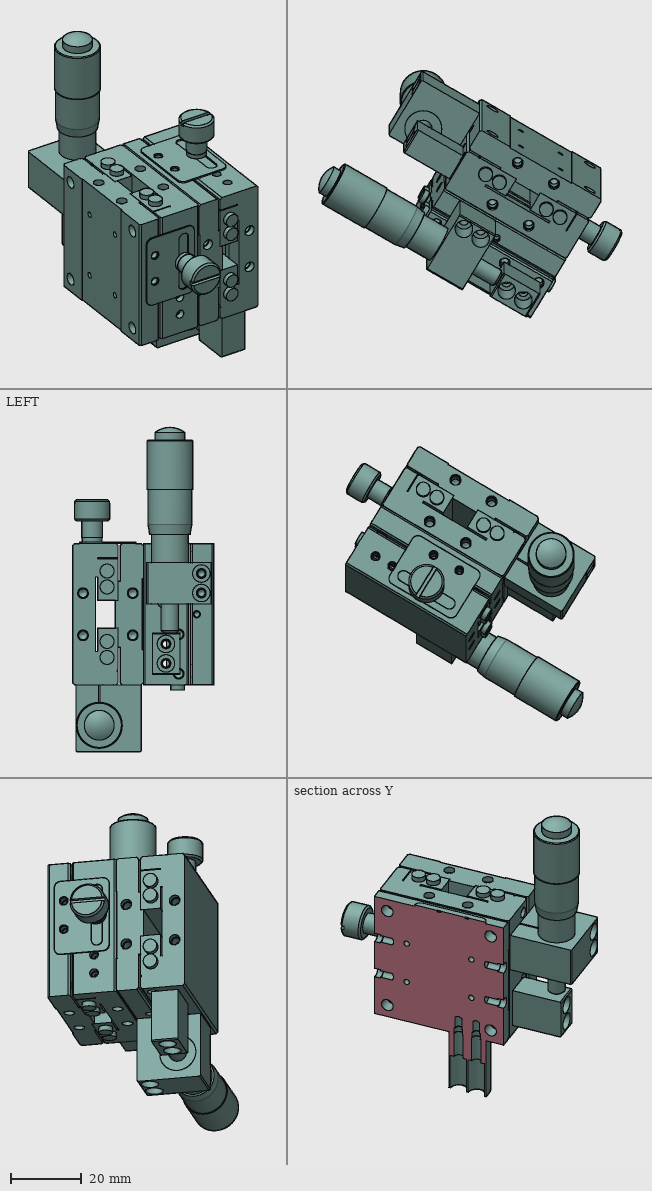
import cadquery as cq
import math


WIDTH = 40.0
HALF = WIDTH / 2
THICKNESS = WIDTH / 2
EDGE_CHAMFER = 0.55

CORE_THICKNESS = 6.5
RAIL_BACK = 7.1
RAIL_FRONT = 12.9
RAIL_INNER_X = 4.0
RAIL_OUTER_X = 16.0
REAR_SLOT_HALF = 10.5
PRELOAD_SLIT = 0.3
SEAM_NOTCH = 0.3
RAIL_SCREW_DIAMETER = 4.0
RAIL_SCREW_HEIGHT = 1.5
RAIL_SCREW_XS = (7.7, 12.2)
RAIL_SCREW_DEPTH = 9.75

TONGUE_BACK = 12.05
CARRIAGE_BACK = 13.4
CONTACT_HALF = 9.4
FACE_RECESS = 0.3
FACE_RECESS_HALF = 10.1

LARGE_TAP = (3.0, 2.5)
MEDIUM_TAP = (2.5, 2.0)
SMALL_TAP = (2.0, 1.6)
THREAD_DEPTH = 1.8
CORE_DEPTH = 5.5
DRILL_POINT = math.radians(59)
END_HOLE_X = 6.0
END_HOLE_DEPTHS = (2.9, 17.0)
SIDE_HOLE_DEPTH = 10.0
SIDE_HOLE_ZS = (5.7, 16.8)
MOUNT_HOLE_DIAMETER = 3.5
MOUNT_HOLE_OFFSET = 16.0
FACE_HOLE_DIAMETER = 1.6
FACE_HOLE_X = 6.5
FACE_HOLE_Z = 10.0

BRACKET_LEFT = -39.0
BRACKET_DEPTHS = (0.9, 19.5)
BRACKET_BOTTOM = 2.9
BRACKET_TOP = 14.6
STOP_LEFT = -35.0
STOP_DEPTHS = (2.7, 10.4)
STOP_BOTTOM = -17.1
STOP_TOP = -5.2
BLOCK_CHAMFER = 0.4
BOLT_PITCH = 5.5
BOLT_HEAD_DIAMETER = 5.0
BOLT_DIAMETER = 2.8
BOLT_SEAT_DEPTH = 11.0
BRACKET_BOLT_DEPTH = 16.5
STOP_BOLT_DEPTH = 6.4
CLAMP_SLIT = 0.5

PLATE_THICKNESS = 0.5
PLATE_DEPTHS = (1.9, 17.9)
PLATE_BOTTOM = -7.5
PLATE_TOP = 14.5
PLATE_CORNER = 1.8
PLATE_SLOT_WIDTH = 3.2
PLATE_SLOT_LENGTH = 18.4
PLATE_HOLE_DIAMETER = 2.5
PLATE_HOLE_DEPTH = 15.2
PLATE_HOLE_ZS = (0.0, 8.55)
LOCK_DEPTH = 5.5
LOCK_Z = (PLATE_BOTTOM + PLATE_TOP) / 2
LOCK_SHANK_DIAMETER = 3.0
LOCK_BORE_LENGTH = 9.2
LOCK_COLLAR_DIAMETER = 5.7
LOCK_COLLAR_END = 21.8
LOCK_STEM_DIAMETER = 6.0
LOCK_HEAD_DIAMETER = 10.0
LOCK_HEAD_START = 26.4
LOCK_HEAD_END = 32.5
LOCK_CHAMFER = 0.55
DRIVER_SLOT = 1.1

MICROMETER_X = -31.45
MICROMETER_DEPTH = 7.5
SLEEVE_RADIUS = 5.2
SPINDLE_RADIUS = 2.5
TIP_RADIUS = 1.75
TIP_LENGTH = 0.6
TAPER_START = 22.6
TAPER_START_RADIUS = 5.8
TAPER_END = 25.4
THIMBLE_RADIUS = 6.25
GRIP_START = 35.4
GRIP_END = 49.3
GRIP_RADIUS = 6.5
GRIP_CHAMFER = 0.3
CAP_RADIUS = 4.2
DOME_START = 51.5
DOME_TOP = 53.0


def box(x_range, depth_range, z_range):
    """Box between two X values, two depths in front of the base rear face and two Z values."""
    x0, x1 = x_range
    near, far = depth_range
    z0, z1 = z_range
    return cq.Workplane("XY").box(x1 - x0, far - near, z1 - z0, centered=False).translate((x0, -far, z0))


def rod(start, direction, diameter, length):
    """Cylinder from a start point along a direction."""
    return cq.Workplane(cq.Solid.makeCylinder(diameter / 2, length, cq.Vector(*start), cq.Vector(*direction)))


def tapped_hole(start, direction, tap):
    """Blind tapped hole: a thread bore, then a narrower core with a conical drill point."""
    thread_diameter, core_diameter = tap
    core_radius = core_diameter / 2
    axis = cq.Vector(*direction)
    point_base = cq.Vector(*start) + axis * CORE_DEPTH
    point = cq.Solid.makeCone(core_radius, 0, core_radius / math.tan(DRILL_POINT), point_base, axis)
    thread = rod(start, direction, thread_diameter, THREAD_DEPTH)
    core = rod(start, direction, core_diameter, CORE_DEPTH)
    return thread.union(core).union(cq.Workplane(point))


def drill_ends(plate, depth):
    """Pair of tapped holes in each travel end of a plate."""
    for x in (-END_HOLE_X, END_HOLE_X):
        for side in (-1, 1):
            plate = plate.cut(tapped_hole((x, -depth, side * HALF), (0, 0, -side), LARGE_TAP))
    return plate


def bolt_zs(bottom, top):
    middle = (bottom + top) / 2
    return (middle - BOLT_PITCH / 2, middle + BOLT_PITCH / 2)


def bolt_holes(block, left, depth, zs):
    """Counterbored bolt holes along X through a block fixed to the -X side."""
    for z in zs:
        block = block.cut(rod((left, -depth, z), (1, 0, 0), BOLT_HEAD_DIAMETER, BOLT_SEAT_DEPTH))
        block = block.cut(rod((left, -depth, z), (1, 0, 0), BOLT_DIAMETER, -HALF - left))
    return block


def rails():
    """Both rail pairs, joined to the base plate outside the rear slot."""
    full_height = (-HALF, HALF)
    left_outer = -RAIL_OUTER_X
    right_outer = RAIL_OUTER_X - PRELOAD_SLIT
    pairs = box((left_outer, -RAIL_INNER_X), (RAIL_BACK, RAIL_FRONT), full_height)
    pairs = pairs.union(box((RAIL_INNER_X, right_outer), (RAIL_BACK, RAIL_FRONT), full_height))
    pairs = pairs.union(box((left_outer, -REAR_SLOT_HALF), (CORE_THICKNESS, RAIL_BACK), full_height))
    pairs = pairs.union(box((REAR_SLOT_HALF, RAIL_OUTER_X), (CORE_THICKNESS, RAIL_BACK), full_height))
    for x in RAIL_SCREW_XS:
        for sign in (-1, 1):
            bottom = (sign * x, -RAIL_SCREW_DEPTH, -HALF - RAIL_SCREW_HEIGHT)
            top = (sign * x, -RAIL_SCREW_DEPTH, HALF)
            pairs = pairs.union(rod(bottom, (0, 0, 1), RAIL_SCREW_DIAMETER, RAIL_SCREW_HEIGHT))
            pairs = pairs.union(rod(top, (0, 0, 1), RAIL_SCREW_DIAMETER, RAIL_SCREW_HEIGHT))
    return pairs


def seam_notch():
    """Shallow V groove along the seam between the left rail and its arm."""
    return (
        cq.Workplane("XY")
        .workplane(offset=-HALF)
        .moveTo(-RAIL_OUTER_X - SEAM_NOTCH, -RAIL_FRONT)
        .lineTo(-RAIL_OUTER_X + SEAM_NOTCH, -RAIL_FRONT)
        .lineTo(-RAIL_OUTER_X, -RAIL_FRONT + SEAM_NOTCH)
        .close()
        .extrude(WIDTH)
    )


def stop_block():
    block = box((STOP_LEFT, -HALF), STOP_DEPTHS, (STOP_BOTTOM, STOP_TOP))
    block = block.faces("<X").edges("|Y").chamfer(BLOCK_CHAMFER)
    return bolt_holes(block, STOP_LEFT, STOP_BOLT_DEPTH, bolt_zs(STOP_BOTTOM, STOP_TOP))


def lock_screw():
    """Slotted thumb screw whose shank passes through the lock plate into the base."""
    axis = (1, 0, 0)

    def section(start_x, end_x, diameter):
        return rod((start_x, -LOCK_DEPTH, LOCK_Z), axis, diameter, end_x - start_x)

    plate_face = HALF + PLATE_THICKNESS
    head = section(LOCK_HEAD_START, LOCK_HEAD_END, LOCK_HEAD_DIAMETER).edges().chamfer(LOCK_CHAMFER)
    slot = box(
        (LOCK_HEAD_END - DRIVER_SLOT, LOCK_HEAD_END),
        (LOCK_DEPTH - LOCK_HEAD_DIAMETER, LOCK_DEPTH + LOCK_HEAD_DIAMETER),
        (LOCK_Z - DRIVER_SLOT / 2, LOCK_Z + DRIVER_SLOT / 2),
    )
    screw = head.cut(slot)
    screw = screw.union(section(LOCK_COLLAR_END, LOCK_HEAD_START, LOCK_STEM_DIAMETER))
    screw = screw.union(section(plate_face, LOCK_COLLAR_END, LOCK_COLLAR_DIAMETER))
    return screw.union(section(HALF, plate_face, LOCK_SHANK_DIAMETER))


def make_base():
    full_height = (-HALF, HALF)
    base = box((-HALF, HALF), (0, RAIL_FRONT), full_height)
    base = base.edges("|Z").chamfer(EDGE_CHAMFER)
    rail_channel = box((-RAIL_OUTER_X, RAIL_OUTER_X), (CORE_THICKNESS, RAIL_FRONT), full_height)
    base = base.cut(rail_channel)
    for z in bolt_zs(STOP_BOTTOM, STOP_TOP):
        base = base.cut(rod((-HALF, -STOP_BOLT_DEPTH, z), (1, 0, 0), MEDIUM_TAP[1], WIDTH))
        for side in (-1, 1):
            base = base.cut(tapped_hole((side * HALF, -STOP_BOLT_DEPTH, z), (-side, 0, 0), MEDIUM_TAP))
    base = base.cut(rod((-HALF, -LOCK_DEPTH, LOCK_Z), (1, 0, 0), LOCK_SHANK_DIAMETER, LOCK_BORE_LENGTH))
    base = base.union(rails()).cut(seam_notch())
    base = drill_ends(base, END_HOLE_DEPTHS[0])
    for z in SIDE_HOLE_ZS:
        for sign in (-1, 1):
            base = base.cut(tapped_hole((-HALF, -SIDE_HOLE_DEPTH, sign * z), (1, 0, 0), LARGE_TAP))
    return base.union(stop_block()).union(lock_screw())


def micrometer_bracket():
    block = box((BRACKET_LEFT, -HALF), BRACKET_DEPTHS, (BRACKET_BOTTOM, BRACKET_TOP))
    block = block.faces("<X").edges("|Z").chamfer(BLOCK_CHAMFER)
    height = BRACKET_TOP - BRACKET_BOTTOM
    bore_start = (MICROMETER_X, -MICROMETER_DEPTH, BRACKET_BOTTOM)
    block = block.cut(rod(bore_start, (0, 0, 1), 2 * SLEEVE_RADIUS, height))
    slit_depths = (MICROMETER_DEPTH - CLAMP_SLIT / 2, MICROMETER_DEPTH + CLAMP_SLIT / 2)
    block = block.cut(box((MICROMETER_X, -HALF), slit_depths, (BRACKET_BOTTOM, BRACKET_TOP)))
    return bolt_holes(block, BRACKET_LEFT, BRACKET_BOLT_DEPTH, bolt_zs(BRACKET_BOTTOM, BRACKET_TOP))


def lock_plate():
    """Thin plate on the +X side with a slot along the travel for the lock screw."""
    plate = box((HALF, HALF + PLATE_THICKNESS), PLATE_DEPTHS, (PLATE_BOTTOM, PLATE_TOP))
    plate = plate.edges("|X").fillet(PLATE_CORNER)
    slot = (
        cq.Workplane("YZ")
        .workplane(offset=HALF)
        .center(-LOCK_DEPTH, LOCK_Z)
        .slot2D(PLATE_SLOT_LENGTH, PLATE_SLOT_WIDTH, 90)
        .extrude(PLATE_THICKNESS)
    )
    return plate.cut(slot)


def make_carriage():
    full_height = (-HALF, HALF)
    carriage = box((-HALF, HALF), (CARRIAGE_BACK, THICKNESS), full_height)
    carriage = carriage.edges("|Z").chamfer(EDGE_CHAMFER)
    carriage = carriage.union(box((-CONTACT_HALF, CONTACT_HALF), (RAIL_FRONT, CARRIAGE_BACK), full_height))
    carriage = carriage.union(box((-RAIL_INNER_X, RAIL_INNER_X), (TONGUE_BACK, RAIL_FRONT), full_height))
    recess_x = (-FACE_RECESS_HALF, FACE_RECESS_HALF)
    carriage = carriage.cut(box(recess_x, (THICKNESS - FACE_RECESS, THICKNESS), full_height))
    for sign_x in (-1, 1):
        for sign_z in (-1, 1):
            mount = (sign_x * MOUNT_HOLE_OFFSET, -THICKNESS, sign_z * MOUNT_HOLE_OFFSET)
            tapped = (sign_x * FACE_HOLE_X, -THICKNESS, sign_z * FACE_HOLE_Z)
            carriage = carriage.cut(rod(mount, (0, 1, 0), MOUNT_HOLE_DIAMETER, THICKNESS))
            carriage = carriage.cut(rod(tapped, (0, 1, 0), FACE_HOLE_DIAMETER, THICKNESS))
    carriage = drill_ends(carriage, END_HOLE_DEPTHS[1])
    carriage = carriage.cut(tapped_hole((-HALF, -PLATE_HOLE_DEPTH, 0), (1, 0, 0), SMALL_TAP))
    for z in bolt_zs(BRACKET_BOTTOM, BRACKET_TOP):
        carriage = carriage.cut(tapped_hole((-HALF, -BRACKET_BOLT_DEPTH, z), (1, 0, 0), MEDIUM_TAP))
    carriage = carriage.union(micrometer_bracket()).union(lock_plate())
    for z in PLATE_HOLE_ZS:
        clearance = rod((HALF, -PLATE_HOLE_DEPTH, z), (1, 0, 0), PLATE_HOLE_DIAMETER, PLATE_THICKNESS)
        tapped = tapped_hole((HALF, -PLATE_HOLE_DEPTH, z), (-1, 0, 0), SMALL_TAP)
        carriage = carriage.cut(clearance).cut(tapped)
    return carriage


def make_micrometer():
    dome_height = DOME_TOP - DOME_START
    dome_radius = (CAP_RADIUS**2 + dome_height**2) / (2 * dome_height)
    half_angle = math.asin(CAP_RADIUS / dome_radius) / 2
    dome_middle = (
        dome_radius * math.sin(half_angle),
        DOME_TOP - dome_radius * (1 - math.cos(half_angle)),
    )
    return (
        cq.Workplane("XZ")
        .moveTo(0, STOP_TOP)
        .lineTo(TIP_RADIUS, STOP_TOP)
        .lineTo(SPINDLE_RADIUS, STOP_TOP + TIP_LENGTH)
        .lineTo(SPINDLE_RADIUS, BRACKET_BOTTOM)
        .lineTo(SLEEVE_RADIUS, BRACKET_BOTTOM)
        .lineTo(SLEEVE_RADIUS, TAPER_START)
        .lineTo(TAPER_START_RADIUS, TAPER_START)
        .lineTo(THIMBLE_RADIUS, TAPER_END)
        .lineTo(THIMBLE_RADIUS, GRIP_START)
        .lineTo(GRIP_RADIUS, GRIP_START)
        .lineTo(GRIP_RADIUS, GRIP_END - GRIP_CHAMFER)
        .lineTo(GRIP_RADIUS - GRIP_CHAMFER, GRIP_END)
        .lineTo(CAP_RADIUS, GRIP_END)
        .lineTo(CAP_RADIUS, DOME_START)
        .threePointArc(dome_middle, (0, DOME_TOP))
        .close()
        .revolve(360, (0, 0, 0), (0, 1, 0))
        .translate((MICROMETER_X, -MICROMETER_DEPTH, 0))
    )


def place_rear(body):
    """Turn a body of the front slide into the rear slide: Z travel becomes -X travel."""
    return body.rotate((0, 0, 0), (0, 1, 0), -90).translate((0, THICKNESS, 0))


front_bodies = [make_base(), make_carriage(), make_micrometer()]
rear_bodies = [place_rear(body) for body in front_bodies]
result = cq.Compound.makeCompound([body.val() for body in front_bodies + rear_bodies])